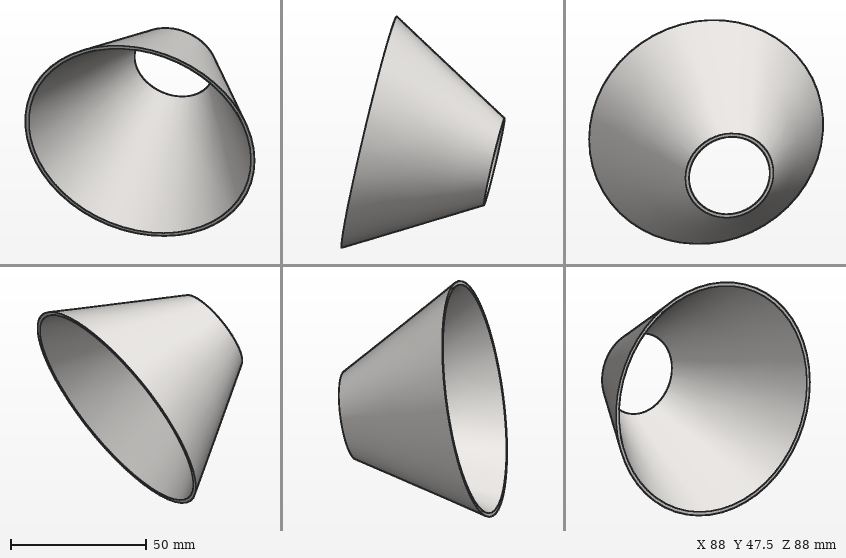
import cadquery as cq

mouth_diameter = 88.0
narrow_diameter = 33.1
length = 47.5
radial_wall = 1.4

mouth_radius = mouth_diameter / 2
narrow_radius = narrow_diameter / 2

wall_section = (
    cq.Workplane("XY")
    .moveTo(mouth_radius - radial_wall, 0)
    .lineTo(mouth_radius, 0)
    .lineTo(narrow_radius, length)
    .lineTo(narrow_radius - radial_wall, length)
    .close()
)

result = wall_section.revolve(360, (0, 0, 0), (0, 1, 0))